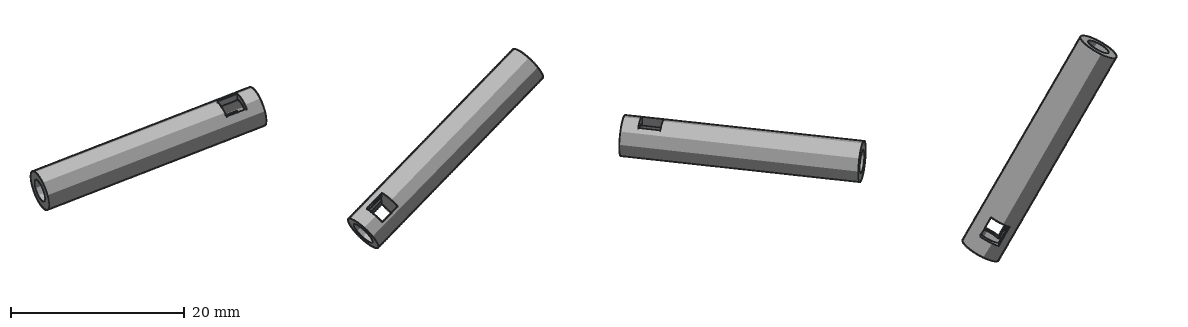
import cadquery as cq

length = 28.0
outer_diameter = 4.8

window_width = 2.45
window_length = 2.6
end_to_window = 2.0
window_center_x = 0.05
window_center_y = length / 2 - end_to_window - window_length / 2

rear_bore_diameter = 3.0
rear_bore_depth = end_to_window + window_length

front_bore_diameter = 2.7
web_thickness = 2.7
front_bore_depth = length - rear_bore_depth - web_thickness


def cylinder_along_y(diameter, start_y, end_y):
    """Cylinder centred on the Y axis between two Y positions."""
    start_plane = cq.Workplane("XZ", origin=(0, start_y, 0))
    return start_plane.circle(diameter / 2).extrude(start_y - end_y)


body = cylinder_along_y(outer_diameter, -length / 2, length / 2)
front_bore = cylinder_along_y(front_bore_diameter, -length / 2, -length / 2 + front_bore_depth)
rear_bore = cylinder_along_y(rear_bore_diameter, length / 2 - rear_bore_depth, length / 2)
window = (
    cq.Workplane("XY")
    .box(window_width, window_length, outer_diameter)
    .translate((window_center_x, window_center_y, 0))
)

result = body.cut(front_bore).cut(rear_bore).cut(window)